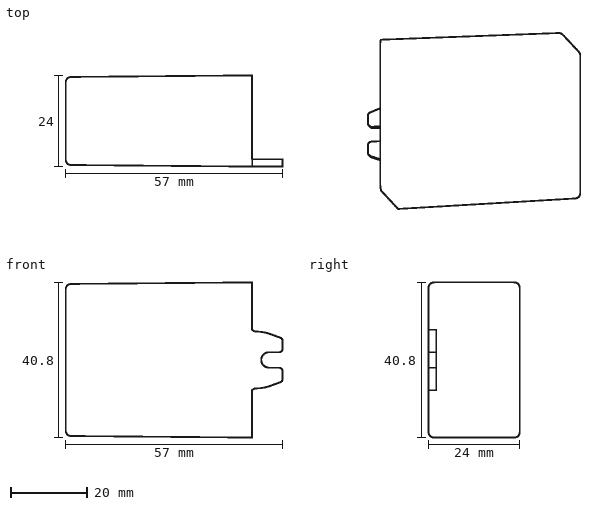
import cadquery as cq
import math

case_length = 49.0
case_depth = 24.0
case_height = 40.8
draft_angle = 0.5
edge_radius = 1.5

tab_length = 8.0
tab_thickness = 2.0
tab_half_height = 7.5
flare_length = 1.0
flare_rise = 0.45
shoulder_radius = 10.8
shoulder_angle = 20.0
tip_radius = 1.0
slot_width = 4.0
slot_center = 4.4

tip_x = case_length + tab_length
front_y = -case_depth / 2


def make_case():
    """Drafted box with every edge rounded except those of the wide end."""
    box = (
        cq.Workplane("YZ", origin=(case_length, 0, 0))
        .rect(case_depth, case_height)
        .extrude(-case_length, taper=draft_angle)
    )
    return box.edges("not(>X)").fillet(edge_radius)


def flank_points():
    """Points (x, z) along the upper flank, from the case face to the tip."""
    slope = math.radians(shoulder_angle)
    flare_radius = (flare_length**2 + flare_rise**2) / (2 * flare_rise)
    half_flare = math.asin(flare_length / flare_radius) / 2
    flare_start = (case_length, tab_half_height + flare_rise)
    flare_mid = (
        case_length + flare_length - flare_radius * math.sin(half_flare),
        tab_half_height + flare_radius * (1 - math.cos(half_flare)),
    )
    flare_end = (case_length + flare_length, tab_half_height)

    def shoulder_point(angle):
        return (
            flare_end[0] + shoulder_radius * math.sin(angle),
            tab_half_height - shoulder_radius * (1 - math.cos(angle)),
        )

    shoulder_mid = shoulder_point(slope / 2)
    shoulder_end = shoulder_point(slope)
    tip = (tip_x, shoulder_end[1] - (tip_x - shoulder_end[0]) * math.tan(slope))
    return flare_start, flare_mid, flare_end, shoulder_mid, shoulder_end, tip


def mirrored(point):
    """The same point on the lower flank."""
    return (point[0], -point[1])


def make_tab():
    """Forked plate, symmetric about Z = 0, with rounded prong corners."""
    flare_start, flare_mid, flare_end, shoulder_mid, shoulder_end, tip = flank_points()
    slot_x = case_length + slot_center
    slot_half = slot_width / 2
    plate = (
        cq.Workplane("XZ", origin=(0, front_y, 0))
        .moveTo(*flare_start)
        .threePointArc(flare_mid, flare_end)
        .threePointArc(shoulder_mid, shoulder_end)
        .lineTo(*tip)
        .lineTo(tip_x, slot_half)
        .lineTo(slot_x, slot_half)
        .threePointArc((slot_x - slot_half, 0), (slot_x, -slot_half))
        .lineTo(tip_x, -slot_half)
        .lineTo(*mirrored(tip))
        .lineTo(*mirrored(shoulder_end))
        .threePointArc(mirrored(shoulder_mid), mirrored(flare_end))
        .threePointArc(mirrored(flare_mid), mirrored(flare_start))
        .close()
        .extrude(-tab_thickness)
    )
    prong_corners = plate.faces(">X").edges("|Y")
    return prong_corners.fillet(tip_radius)


result = make_case().union(make_tab())